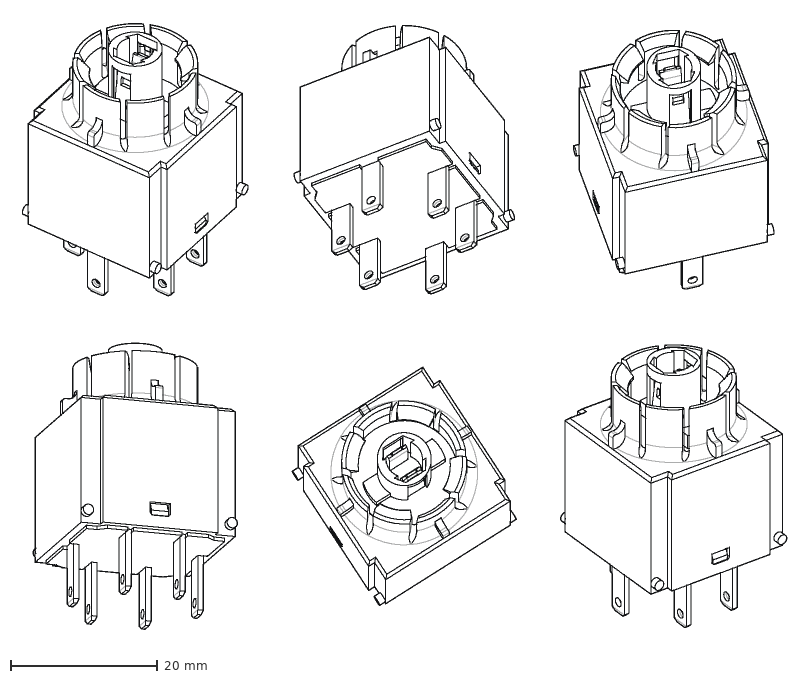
import cadquery as cq
import math


overall_height = 37.1

side = 22.2
core_width = 20.25
lobe_width = 16.55
housing_top = 18.3
housing_chamfer = 0.5
corner_pin_dia = 1.5
corner_pin_z = 1.65

catch_width = 2.97
catch_low = 1.7
catch_high = 3.53
catch_depth = 0.65
catch_corner = 0.35
catch_nose_width = 2.45
catch_nose_z = 2.4
catch_nose_setback = 0.15

collar_radius = 8.57
collar_bore_radius = 7.35
collar_mouth_radius = 7.98
collar_top = 25.83
mouth_bottom = 24.05
collar_fillet = 1.5
seat_floor = 17.78
latch_radius = 6.3
latch_land = 0.37
latch_half_angle = 20.0
slot_width = 0.9
slot_offset = 3.0

rib_width = 1.05
rib_reach = 10.6
rib_height = 2.2
rib_fillet = 1.25
rib_round = 0.4

post_dia = 7.4
post_top = 28.35
bore_radius = 2.5
bay_inner_y = 1.5
bay_outer_y = 2.85
bay_inner_half = 2.55
bay_outer_half = 1.6
window_width = 3.1
window_top = 26.85
key_radius = 5.85
key_width = 3.35
key_top = 19.85

contact_width = 2.97
contact_inner_y = 1.37
contact_foot_y = 3.0
contact_top = 25.7
contact_top_inner_y = 1.65
contact_top_outer_y = 2.05
crown_width = 1.78
crown_height = 0.35
crown_chamfer = 0.2
contact_slot_width = 1.55
contact_slot_low = 23.2
contact_slot_high = 24.5

plate_half = 9.95
plate_corner_x = 8.98
plate_corner_start_y = 7.27
plate_corner_end_y = 8.42
plate_thickness = 0.5
terminal_width = 2.85
terminal_thickness = 0.8
terminal_taper = 0.52
tip_thickness = 0.52
terminal_hole_dia = 1.3
terminal_hole_rise = 1.85
centre_length = overall_height - post_top
centre_y = 8.95
side_length = 8.65
side_x = 7.55
side_y = 3.9
embed = 0.37


def block(x_size, y_size, z_low, z_high):
    """Box centred on the Z axis between two heights."""
    return cq.Workplane("XY").workplane(offset=z_low).rect(x_size, y_size).extrude(z_high - z_low)


def cylinder(radius, z_low, z_high):
    return cq.Workplane("XY").workplane(offset=z_low).circle(radius).extrude(z_high - z_low)


def revolve_profile(points):
    """Turn an (r, z) outline about the Z axis."""
    return cq.Workplane("XZ").polyline(points).close().revolve(360, (0, 0, 0), (0, 1, 0))


def turned(shape, angle):
    return shape.rotate((0, 0, 0), (0, 0, 1), angle)


def make_housing():
    core = block(core_width, side, 0, housing_top)
    housing = core.union(block(side, lobe_width, 0, housing_top))
    housing = housing.faces(">Z").edges().chamfer(housing_chamfer)
    pin_y = (side - corner_pin_dia) / 2
    for y in (-pin_y, pin_y):
        pin = cq.Workplane("YZ").center(y, corner_pin_z).circle(corner_pin_dia / 2)
        housing = housing.union(pin.extrude(side / 2, both=True))
    return housing


def make_catch_pocket():
    """Window in the +X face with a ramped catch nose left standing inside."""
    back = side / 2 - catch_depth
    front = side / 2 - catch_nose_setback
    opening = (
        cq.Workplane("YZ").workplane(offset=back)
        .center(0, (catch_low + catch_high) / 2)
        .rect(catch_width, catch_high - catch_low).extrude(catch_depth)
        .edges("|X and <Z").chamfer(catch_corner)
    )
    nose = (
        cq.Workplane("XZ")
        .polyline([(back, catch_low), (front, catch_low), (front, catch_nose_z), (back, catch_high)])
        .close().extrude(catch_nose_width / 2, both=True)
    )
    return opening.cut(nose)


def make_collar():
    flare_radius = collar_radius + collar_fillet
    drop = collar_fillet * math.sqrt(0.5)
    return (
        cq.Workplane("XZ")
        .moveTo(0, seat_floor)
        .lineTo(flare_radius, seat_floor)
        .lineTo(flare_radius, housing_top)
        .threePointArc(
            (flare_radius - drop, housing_top + collar_fillet - drop),
            (collar_radius, housing_top + collar_fillet),
        )
        .lineTo(collar_radius, collar_top)
        .lineTo(0, collar_top)
        .close().revolve(360, (0, 0, 0), (0, 1, 0))
    )


def make_collar_bore():
    return revolve_profile([
        (0, seat_floor), (collar_bore_radius, seat_floor), (collar_bore_radius, mouth_bottom),
        (collar_mouth_radius, collar_top), (0, collar_top),
    ])


def make_latches():
    """Inward hooks on the four diagonal collar segments."""
    wall = (collar_mouth_radius + collar_radius) / 2
    ring = revolve_profile([
        (latch_radius, mouth_bottom - latch_land), (wall, mouth_bottom - latch_land),
        (wall, collar_top), (collar_mouth_radius, collar_top), (latch_radius, mouth_bottom),
    ])
    half_width = 2 * collar_radius * math.tan(math.radians(latch_half_angle))
    sector = (
        cq.Workplane("XY").workplane(offset=seat_floor)
        .polyline([(0, 0), (2 * collar_radius, -half_width), (2 * collar_radius, half_width)])
        .close().extrude(collar_top - seat_floor)
    )
    latches = cq.Workplane("XY")
    for angle in (45, 135, 225, 315):
        latches = latches.add(ring.intersect(turned(sector, angle)))
    return latches.combine()


def make_slots():
    """Round-bottomed slots that run beside both diagonals and split the collar."""
    radius = slot_width / 2
    axis_z = housing_top + radius
    length = side / 2 - latch_radius
    plane = cq.Workplane("YZ").workplane(offset=latch_radius)
    slots = cq.Workplane("XY")
    for offset in (-slot_offset, slot_offset):
        round_floor = plane.center(offset, axis_z).circle(radius).extrude(length)
        walls = (
            plane.center(offset, (axis_z + collar_top) / 2)
            .rect(slot_width, collar_top - axis_z).extrude(length)
        )
        slot = round_floor.union(walls)
        for angle in (45, 135, 225, 315):
            slots = slots.add(turned(slot, angle))
    return slots.combine()


def make_rib():
    """Rib on +X with a rounded corner and a concave blend into the collar."""
    top = housing_top + rib_height
    root = collar_radius - embed
    blend = rib_fillet * (1 - math.sqrt(0.5))
    corner = rib_round * (1 - math.sqrt(0.5))
    return (
        cq.Workplane("XZ")
        .moveTo(root, housing_top - embed)
        .lineTo(rib_reach, housing_top - embed)
        .lineTo(rib_reach, top - rib_round)
        .threePointArc((rib_reach - corner, top - corner), (rib_reach - rib_round, top))
        .lineTo(collar_radius + rib_fillet, top)
        .threePointArc((collar_radius + blend, top + blend), (collar_radius, top + rib_fillet))
        .lineTo(root, top + rib_fillet)
        .close().extrude(rib_width / 2, both=True)
    )


def make_post():
    foot = seat_floor - embed
    post = cylinder(post_dia / 2, foot, post_top)
    keys = cylinder(key_radius, foot, key_top).intersect(block(2 * key_radius, key_width, foot, key_top))
    post = post.union(keys)
    post = post.cut(cylinder(bore_radius, seat_floor, post_top))
    for sign in (-1, 1):
        bay = (
            cq.Workplane("XY").workplane(offset=seat_floor)
            .polyline([
                (-bay_inner_half, sign * bay_inner_y), (bay_inner_half, sign * bay_inner_y),
                (bay_outer_half, sign * bay_outer_y), (-bay_outer_half, sign * bay_outer_y),
            ])
            .close().extrude(post_top - seat_floor)
        )
        post = post.cut(bay)
    return post.cut(block(window_width, post_dia, seat_floor, window_top))


def make_contact():
    """Wedge-shaped lamp contact on the +Y side of the post."""
    profile = [
        (contact_inner_y, seat_floor - embed), (contact_foot_y, seat_floor - embed),
        (contact_foot_y, seat_floor), (contact_top_outer_y, contact_top),
        (contact_top_inner_y, contact_top), (contact_inner_y, contact_slot_high),
    ]
    wedge = cq.Workplane("YZ").polyline(profile).close().extrude(contact_width / 2, both=True)
    crown_depth = contact_top_outer_y - contact_top_inner_y
    crown_y = (contact_top_inner_y + contact_top_outer_y) / 2
    crown = (
        block(crown_width, crown_depth, contact_top, contact_top + crown_height)
        .edges("|Y and >Z").chamfer(crown_chamfer).translate((0, crown_y, 0))
    )
    slot = block(contact_slot_width, contact_foot_y - crown_y, contact_slot_low, contact_slot_high)
    slot = slot.translate((0, (contact_foot_y + crown_y) / 2, 0))
    return wedge.union(crown).cut(slot)


def make_plate():
    quarter = [
        (plate_half, plate_corner_start_y),
        (plate_corner_x, plate_corner_end_y),
        (plate_corner_x, plate_half),
    ]
    mirrored = [(-x, y) for x, y in reversed(quarter)]
    upper = quarter + mirrored
    lower = [(-x, -y) for x, y in upper]
    plate = cq.Workplane("XY").polyline(upper + lower).close().extrude(-plate_thickness)
    notch = block(terminal_width, terminal_thickness, -plate_thickness, 0)
    for sign in (-1, 1):
        plate = plate.cut(notch.translate((0, sign * (centre_y + terminal_thickness), 0)))
        for y in (-side_y, side_y):
            plate = plate.cut(notch.translate((sign * (side_x + terminal_width), y, 0)))
    return plate


def make_terminal(length):
    shoulder = terminal_taper - length
    blade = block(terminal_width, terminal_thickness, shoulder, embed)
    tip = (
        cq.Workplane("XY").workplane(offset=shoulder).rect(terminal_width, terminal_thickness)
        .workplane(offset=-terminal_taper).rect(terminal_width - 2 * terminal_taper, tip_thickness)
        .loft(ruled=True)
    )
    hole = (
        cq.Workplane("XZ").center(0, terminal_hole_rise - length)
        .circle(terminal_hole_dia / 2).extrude(terminal_thickness, both=True)
    )
    return blade.union(tip).cut(hole)


housing = make_housing()
catch_pocket = make_catch_pocket()
for angle in (0, 180):
    housing = housing.cut(turned(catch_pocket, angle))

collar = make_collar().cut(make_collar_bore()).union(make_latches()).cut(make_slots())
result = housing.cut(cylinder(collar_bore_radius, seat_floor, housing_top)).union(collar)
rib = make_rib()
for angle in (0, 90, 180, 270):
    result = result.union(turned(rib, angle))

result = result.union(make_post())
contact = make_contact()
for angle in (0, 180):
    result = result.union(turned(contact, angle))

result = result.union(make_plate())
centre_terminal = make_terminal(centre_length)
side_terminal = make_terminal(side_length)
for y_sign in (-1, 1):
    result = result.union(centre_terminal.translate((0, y_sign * centre_y, 0)))
    for x_sign in (-1, 1):
        result = result.union(side_terminal.translate((x_sign * side_x, y_sign * side_y, 0)))